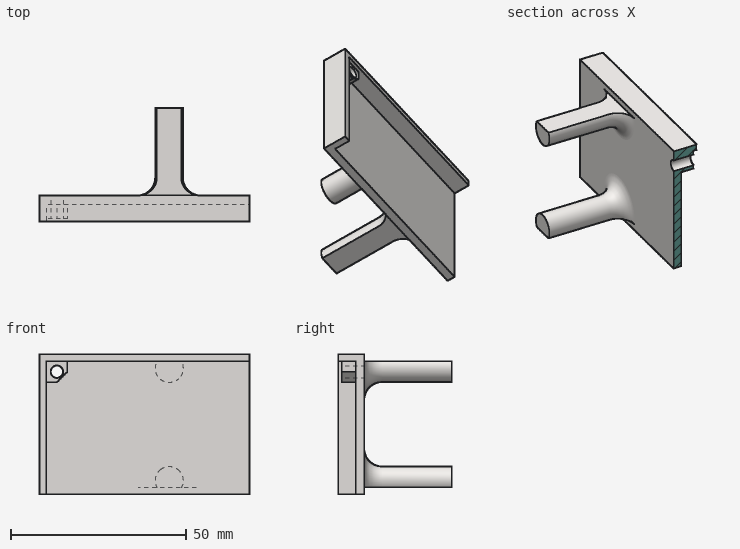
import cadquery as cq

plate_length = 60.0
plate_height = plate_length * 2 / 3
plate_thickness = 7.5

lip_width = plate_length / 30
recess_depth = 2 * plate_thickness / 3

pad_size = 6.0
pad_chamfer = pad_size / 2
pad_setback = lip_width / 2
hole_diameter = 3.5

post_radius = 2 * lip_width
post_length = plate_length * 5 / 12
post_x = plate_length * 7 / 60
flat_offset = post_radius / 2
flat_edge_gap = lip_width
root_fillet = 2.5 * lip_width

recess_left = -plate_length / 2 + lip_width
recess_top = plate_height / 2 - lip_width


def make_plate():
    plate = cq.Workplane("XY").box(
        plate_length, plate_thickness, plate_height, centered=(True, False, True)
    )
    recess = (
        cq.Workplane("XY")
        .box(plate_length, recess_depth, plate_height, centered=False)
        .translate((recess_left, 0, recess_top - plate_height))
    )
    return plate.cut(recess)


def make_pad():
    pad = cq.Workplane("XY").box(pad_size, recess_depth - pad_setback, pad_size, centered=False)
    pad = pad.edges("|Y and >X and <Z").chamfer(pad_chamfer)
    return pad.translate((recess_left, pad_setback, recess_top - pad_size))


def make_hole():
    hole = cq.Workplane("XZ").circle(hole_diameter / 2).extrude(-plate_thickness)
    return hole.translate((recess_left + pad_size / 2, 0, recess_top - pad_size / 2))


def make_upper_post():
    flare_radius = post_radius + root_fillet
    bar = (
        cq.Workplane("XY")
        .moveTo(0, 0)
        .lineTo(flare_radius, 0)
        .radiusArc((post_radius, root_fillet), root_fillet)
        .lineTo(post_radius, post_length)
        .lineTo(0, post_length)
        .close()
        .revolve(360, (0, 0, 0), (0, 1, 0))
    )
    beyond_flat = (
        cq.Workplane("XY")
        .box(2 * flare_radius, post_length, flare_radius, centered=(True, False, False))
        .translate((0, 0, flat_offset))
    )
    post_z = plate_height / 2 - flat_edge_gap - flat_offset
    return bar.cut(beyond_flat).translate((post_x, plate_thickness, post_z))


upper_post = make_upper_post()
lower_post = upper_post.mirror("XY")
result = make_plate().union(make_pad()).cut(make_hole()).union(upper_post).union(lower_post)